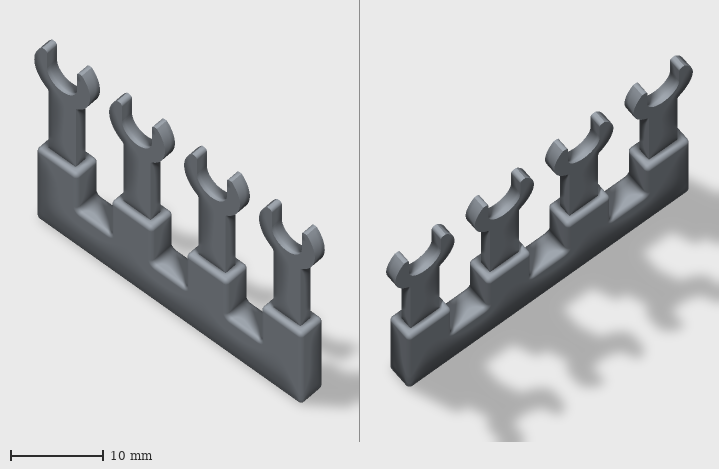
import cadquery as cq
import math

FORK_COUNT = 4
FORK_PITCH = 11.0

TOOTH_WIDTH = 6.0
HOUSING_DEPTH = 3.5
HOUSING_HEIGHT = 12.0
GAP_FLOOR_HEIGHT = 6.0
GAP_CORNER_RADIUS = 0.5
EDGE_FILLET = 0.5
HOUSING_LENGTH = (FORK_COUNT - 1) * FORK_PITCH + TOOTH_WIDTH
GAP_WIDTH = FORK_PITCH - TOOTH_WIDTH
GAP_DEPTH = HOUSING_HEIGHT - GAP_FLOOR_HEIGHT

FORK_THICKNESS = 1.6
SHANK_WIDTH = 4.0
HEAD_RADIUS = 4.1
SLOT_RADIUS = 2.2
FORK_TOP = 28.4
TIP_ABOVE_CENTER = 2.9
HEAD_CENTER = FORK_TOP - TIP_ABOVE_CENTER
NECK_FILLET = 0.5
TIP_FILLET = 0.4

first_fork_x = -(FORK_COUNT - 1) * FORK_PITCH / 2


def make_housing():
    """Comb-shaped block, resting on Z = 0, with every outer edge rounded."""
    block = cq.Workplane("XY").box(
        HOUSING_LENGTH, HOUSING_DEPTH, HOUSING_HEIGHT, centered=(True, True, False)
    )
    for index in range(FORK_COUNT - 1):
        gap_x = first_fork_x + (index + 0.5) * FORK_PITCH
        gap = (
            cq.Workplane("XY")
            .box(GAP_WIDTH, HOUSING_DEPTH, GAP_DEPTH, centered=(True, True, False))
            .edges("|Y and <Z")
            .fillet(GAP_CORNER_RADIUS)
            .translate((gap_x, 0, GAP_FLOOR_HEIGHT))
        )
        block = block.cut(gap)
    face_outlines = block.faces("<Y or >Y").edges()
    outer_corners = block.edges("|Y").edges("<Z or >Z or <X or >X")
    return block.newObject(face_outlines.vals() + outer_corners.vals()).fillet(EDGE_FILLET)


def make_fork(center_x):
    """Flat fork terminal standing on top of a housing tooth."""
    half_shank = SHANK_WIDTH / 2
    neck_z = HEAD_CENTER - math.sqrt(HEAD_RADIUS**2 - half_shank**2)
    tip_x = math.sqrt(HEAD_RADIUS**2 - TIP_ABOVE_CENTER**2)
    outline = (
        cq.Workplane("XZ")
        .moveTo(-half_shank, HOUSING_HEIGHT)
        .lineTo(half_shank, HOUSING_HEIGHT)
        .lineTo(half_shank, neck_z)
        .threePointArc((HEAD_RADIUS, HEAD_CENTER), (tip_x, FORK_TOP))
        .lineTo(SLOT_RADIUS, FORK_TOP)
        .lineTo(SLOT_RADIUS, HEAD_CENTER)
        .threePointArc((0, HEAD_CENTER - SLOT_RADIUS), (-SLOT_RADIUS, HEAD_CENTER))
        .lineTo(-SLOT_RADIUS, FORK_TOP)
        .lineTo(-tip_x, FORK_TOP)
        .threePointArc((-HEAD_RADIUS, HEAD_CENTER), (-half_shank, neck_z))
        .close()
    )
    fork = outline.extrude(FORK_THICKNESS / 2, both=True)
    neck_points = [(-half_shank, 0, neck_z), (half_shank, 0, neck_z)]
    tip_points = [(-SLOT_RADIUS, 0, FORK_TOP), (SLOT_RADIUS, 0, FORK_TOP)]
    for point in neck_points:
        fork = fork.edges(cq.NearestToPointSelector(point)).fillet(NECK_FILLET)
    for point in tip_points:
        fork = fork.edges(cq.NearestToPointSelector(point)).fillet(TIP_FILLET)
    return fork.translate((center_x, 0, 0))


housing = make_housing()
forks = [make_fork(first_fork_x + index * FORK_PITCH) for index in range(FORK_COUNT)]

result = cq.Compound.makeCompound([housing.val(), *[fork.val() for fork in forks]])